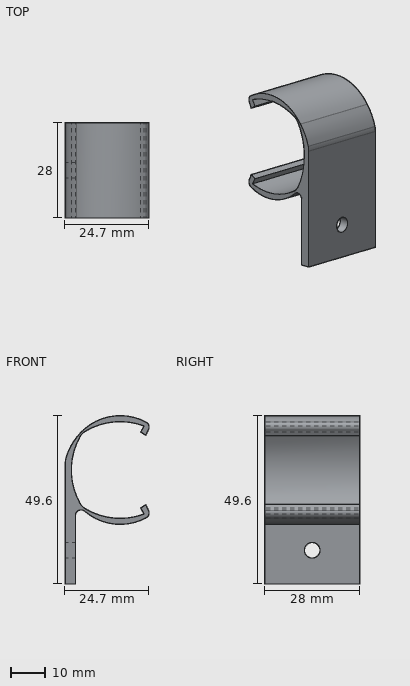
import cadquery as cq
import math

width = 28.0
height = 49.55
plate_thickness = 3.05
plate_top = 35.65
hole_diameter = 4.5
hole_height = 9.95

outer_radius = 16.0
center_x = 16.15
center_z = height - outer_radius
wall = 1.85
inner_radius = 20.0
corner_radius = 3.95

blend_top = (0.2, 37.05)
blend_radius = 5.95
back_top = 43.2
back_radius = 17.35

web_start = 20.55
web_end = 21.25
web_crown = (4.35, 21.75)

overall_depth = 24.7
nose_start_x = 23.8
nose_radius = 1.7
lip_angle = math.radians(27)
lip_root_x = 23.15
lip_inner_tip = (22.15, 44.7)
lip_outer_tip = (23.7, 43.7)


def mirrored(point):
    """Reflect a profile point about the horizontal plane through the clip center."""
    return point[0], 2 * center_z - point[1]


def leg(hypotenuse, other_leg):
    return math.sqrt(hypotenuse**2 - other_leg**2)


back_end = (center_x - leg(outer_radius, back_top - center_z), back_top)
web_end_point = (center_x - leg(outer_radius, center_z - web_end), web_end)
crown = (center_x, height)
nose_dx = nose_start_x - center_x
nose_dz = leg(outer_radius, nose_dx)
nose_start = (nose_start_x, center_z + nose_dz)

nose_center_z = nose_start[1] - nose_radius * nose_dz / outer_radius
nose_center_x = overall_depth - nose_radius
nose_middle = (overall_depth, nose_center_z)
nose_end = (
    nose_center_x + nose_radius * math.cos(lip_angle),
    nose_center_z - nose_radius * math.sin(lip_angle),
)

body = (
    cq.Workplane("XZ")
    .lineTo(0, plate_top)
    .radiusArc(blend_top, blend_radius)
    .radiusArc(back_end, back_radius)
    .threePointArc(crown, nose_start)
    .threePointArc(nose_middle, nose_end)
    .lineTo(*lip_outer_tip)
    .lineTo(*mirrored(lip_outer_tip))
    .lineTo(*mirrored(nose_end))
    .threePointArc(mirrored(nose_middle), mirrored(nose_start))
    .threePointArc(mirrored(crown), web_end_point)
    .threePointArc(web_crown, (plate_thickness, web_start))
    .lineTo(plate_thickness, 0)
    .close()
    .extrude(width / 2, both=True)
)


def make_cavity():
    """Clip opening: three shallow arcs with rounded back corners, leaving the lips."""
    rise = inner_radius - outer_radius + wall
    left_center_x = wall + inner_radius
    diagonal = math.hypot(left_center_x - center_x, rise)
    slant = math.atan2(rise, left_center_x - center_x)
    reach = leg(inner_radius, diagonal / 2)
    corner = (
        (center_x + left_center_x) / 2 - reach * math.sin(slant),
        center_z - rise / 2 + reach * math.cos(slant),
    )
    roof = (center_x, height - wall)
    roof_center_z = height - wall - inner_radius
    lip_root = (lip_root_x, roof_center_z + leg(inner_radius, lip_root_x - center_x))
    return (
        cq.Workplane("XZ")
        .moveTo(*mirrored(corner))
        .radiusArc(corner, inner_radius)
        .threePointArc(roof, lip_root)
        .lineTo(*lip_inner_tip)
        .lineTo(*lip_outer_tip)
        .lineTo(*mirrored(lip_outer_tip))
        .lineTo(*mirrored(lip_inner_tip))
        .lineTo(*mirrored(lip_root))
        .threePointArc(mirrored(roof), mirrored(corner))
        .close()
        .extrude(width / 2, both=True)
        .edges("|Y")
        .edges("<X")
        .fillet(corner_radius)
    )


screw_hole = (
    cq.Workplane("YZ")
    .center(0, hole_height)
    .circle(hole_diameter / 2)
    .extrude(plate_thickness)
)

result = body.cut(make_cavity()).cut(screw_hole)